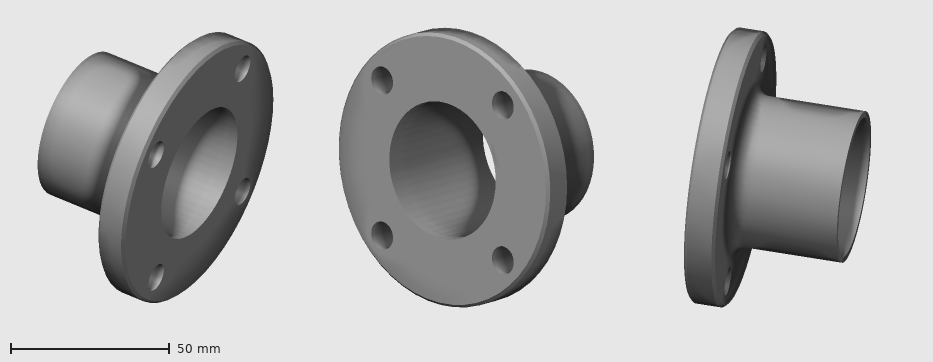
import cadquery as cq
import math

total_length = 45.0
flange_diameter = 88.0
flange_thickness = 10.0
flange_chamfer = 1.0

neck_diameter = 48.3
bore_diameter = 44.3
root_fillet = 4.0

bolt_hole_count = 4
bolt_hole_diameter = 9.1
bolt_circle_diameter = 71.0
first_hole_angle = 45.0

neck_length = total_length - flange_thickness
flange_radius = flange_diameter / 2
neck_radius = neck_diameter / 2
bore_radius = bore_diameter / 2


def flanged_neck():
    """Revolve the half section of neck, root fillet and chamfered flange about X."""
    arc_offset = root_fillet * (1 - math.sqrt(0.5))
    fillet_end = (neck_length, neck_radius + root_fillet)
    fillet_middle = (neck_length - root_fillet + root_fillet * math.sqrt(0.5), neck_radius + arc_offset)
    return (
        cq.Workplane("XY")
        .moveTo(0, bore_radius)
        .lineTo(0, neck_radius)
        .lineTo(neck_length - root_fillet, neck_radius)
        .threePointArc(fillet_middle, fillet_end)
        .lineTo(neck_length, flange_radius - flange_chamfer)
        .lineTo(neck_length + flange_chamfer, flange_radius)
        .lineTo(total_length - flange_chamfer, flange_radius)
        .lineTo(total_length, flange_radius - flange_chamfer)
        .lineTo(total_length, bore_radius)
        .close()
        .revolve(360, (0, 0, 0), (1, 0, 0))
    )


def bolt_holes():
    """Cylinders that pass through the full flange thickness."""
    return (
        cq.Workplane("YZ", origin=(neck_length, 0, 0))
        .polarArray(bolt_circle_diameter / 2, first_hole_angle, 360, bolt_hole_count)
        .circle(bolt_hole_diameter / 2)
        .extrude(flange_thickness)
    )


result = flanged_neck().cut(bolt_holes())